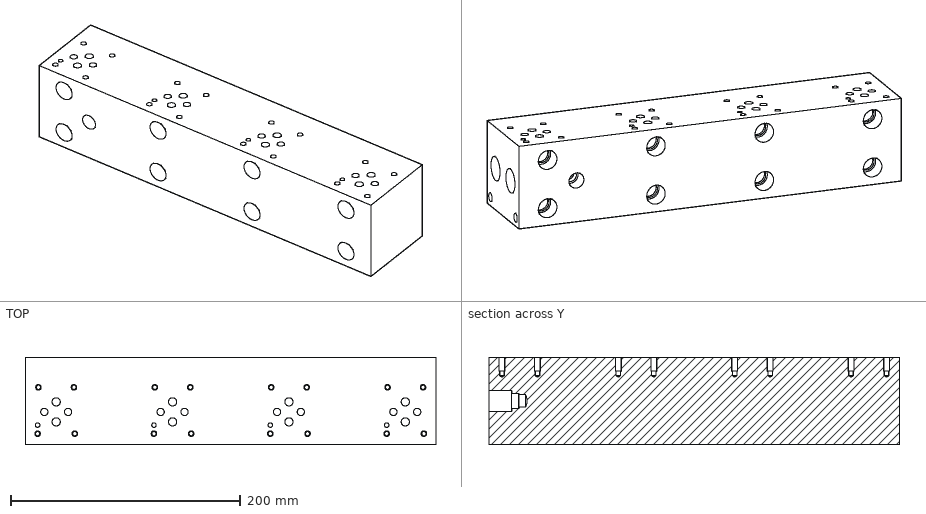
import cadquery as cq
import math

LENGTH = 358.77
WIDTH = 76.2
HEIGHT = 76.2

STATION_COUNT = 4
STATION_PITCH = 101.6
FIRST_STATION_X = (LENGTH - (STATION_COUNT - 1) * STATION_PITCH) / 2
STATION_XS = [FIRST_STATION_X + i * STATION_PITCH for i in range(STATION_COUNT)]

WORK_PORT = {"mouth": 17.3, "thread_depth": 15.0, "drill": 14.3, "drill_depth": 18.0}
GAUGE_PORT = {"mouth": 13.87, "thread_depth": 14.0, "drill": 10.72, "drill_depth": 20.0}
SUPPLY_PORT = {"mouth": 21.59, "thread_depth": 20.0, "drill": 17.48, "drill_depth": 26.0}
MOUNTING_HOLE = {"mouth": 7.92, "thread_depth": 12.0, "drill": 6.53, "drill_depth": 14.0}
VALVE_BOLT_HOLE = {"mouth": 4.83, "thread_depth": 12.0, "drill": 3.79, "drill_depth": 16.0}

WORK_PORT_OFFSET_Z = 22.225
GAUGE_PORT_X = 2 * FIRST_STATION_X

SUPPLY_PORT_SPACING = 35.72
MOUNTING_HOLE_INSET = 7.94
GALLERY_DIAMETER = 15.88
GALLERY_DEPTH = 32.0

REAR_BOLT_Y = 50.0
WORK_DRILL_STEPS = (12.7, 30.2)
FLOW_DRILL_STEP = 21.5
PIN_STEP = 33.0
FRONT_BOLT_STEP = 40.5
REAR_BOLT_SPACING = 31.0
FRONT_BOLT_SPACING = 32.5
FLOW_DRILL_SPACING = 20.8
WORK_DRILL_DIAMETER = 7.14
FLOW_DRILL_DIAMETER = 6.35
VALVE_DRILL_DEPTH = 6.0
PIN_DIAMETER = 3.96
PIN_DEPTH = 6.0

DRILL_POINT_ANGLE = 118.0

FRONT_INWARD = cq.Vector(0, 1, 0)
END_INWARD = cq.Vector(1, 0, 0)
TOP_INWARD = cq.Vector(0, 0, -1)


def drilled_hole(mouth, inward, diameter, depth):
    """Blind hole with a conical drill point beyond its full-diameter depth."""
    radius = diameter / 2
    point_length = radius / math.tan(math.radians(DRILL_POINT_ANGLE / 2))
    bore = cq.Solid.makeCylinder(radius, depth, mouth, inward)
    point = cq.Solid.makeCone(radius, 0, point_length, mouth + inward * depth, inward)
    return bore.fuse(point)


def threaded_hole(mouth, inward, size):
    """Wider threaded length at the mouth of a tap drill hole."""
    thread = cq.Solid.makeCylinder(size["mouth"] / 2, size["thread_depth"], mouth, inward)
    return thread.fuse(drilled_hole(mouth, inward, size["drill"], size["drill_depth"]))


def front_ports():
    ports = [threaded_hole(cq.Vector(GAUGE_PORT_X, 0, HEIGHT / 2), FRONT_INWARD, GAUGE_PORT)]
    for x in STATION_XS:
        for side in (-1, 1):
            mouth = cq.Vector(x, 0, HEIGHT / 2 + side * WORK_PORT_OFFSET_Z)
            ports.append(threaded_hole(mouth, FRONT_INWARD, WORK_PORT))
    return ports


def end_holes():
    holes = []
    for side in (-1, 1):
        port = cq.Vector(0, WIDTH / 2 + side * SUPPLY_PORT_SPACING / 2, HEIGHT / 2)
        holes.append(threaded_hole(port, END_INWARD, SUPPLY_PORT))
        holes.append(drilled_hole(port, END_INWARD, GALLERY_DIAMETER, GALLERY_DEPTH))
        mounting_y = WIDTH / 2 + side * (WIDTH / 2 - MOUNTING_HOLE_INSET)
        mounting = cq.Vector(0, mounting_y, MOUNTING_HOLE_INSET)
        holes.append(threaded_hole(mounting, END_INWARD, MOUNTING_HOLE))
    return holes


def valve_pattern(station_x):
    def on_top(offset_x, step):
        return cq.Vector(station_x + offset_x, REAR_BOLT_Y - step, HEIGHT)

    holes = []
    for step in WORK_DRILL_STEPS:
        mouth = on_top(0, step)
        holes.append(drilled_hole(mouth, TOP_INWARD, WORK_DRILL_DIAMETER, VALVE_DRILL_DEPTH))
    for side in (-1, 1):
        flow = on_top(side * FLOW_DRILL_SPACING / 2, FLOW_DRILL_STEP)
        holes.append(drilled_hole(flow, TOP_INWARD, FLOW_DRILL_DIAMETER, VALVE_DRILL_DEPTH))
        rear_bolt = on_top(side * REAR_BOLT_SPACING / 2, 0)
        holes.append(threaded_hole(rear_bolt, TOP_INWARD, VALVE_BOLT_HOLE))
        front_bolt = on_top(side * FRONT_BOLT_SPACING / 2, FRONT_BOLT_STEP)
        holes.append(threaded_hole(front_bolt, TOP_INWARD, VALVE_BOLT_HOLE))
    pin = on_top(-FRONT_BOLT_SPACING / 2, PIN_STEP)
    holes.append(drilled_hole(pin, TOP_INWARD, PIN_DIAMETER, PIN_DEPTH))
    return holes


block = cq.Workplane("XY").box(LENGTH, WIDTH, HEIGHT, centered=False)
cutters = front_ports() + end_holes()
for station_x in STATION_XS:
    cutters += valve_pattern(station_x)

result = cq.Workplane(block.val().cut(*cutters))